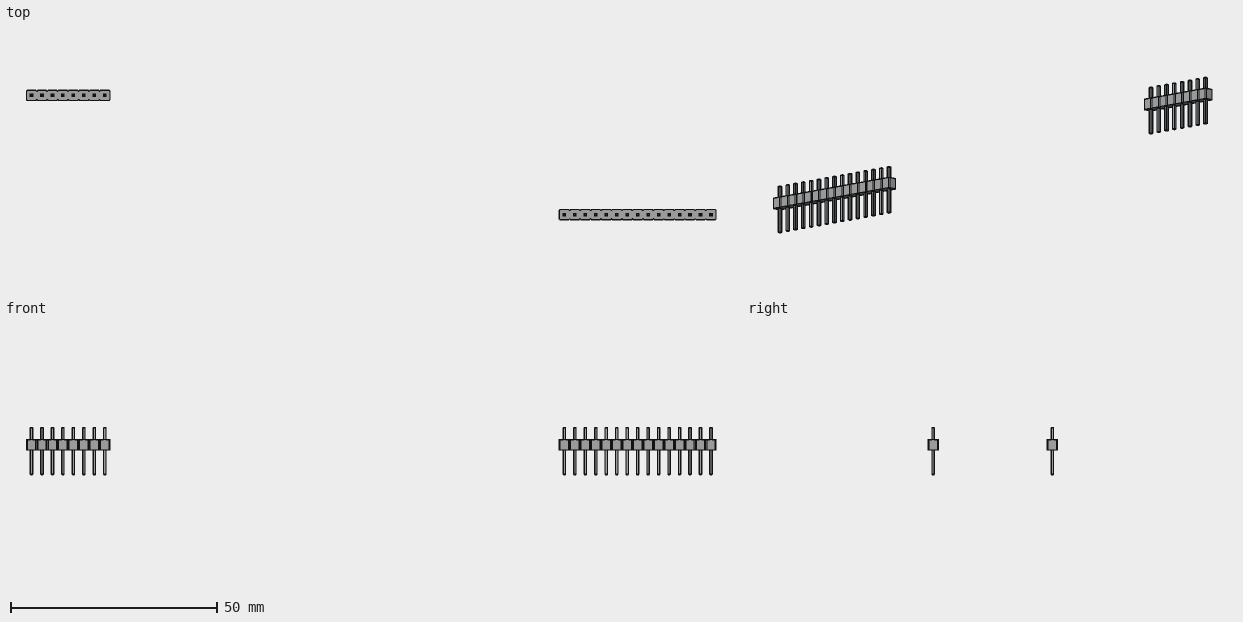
import cadquery as cq

overall_length = 167.4
overall_width = 31.5
overall_height = 11.5

long_pin_count = 15
short_pin_count = 8
gap_between_strips = 109.0
pitch = (overall_length - gap_between_strips) / (long_pin_count + short_pin_count)
long_strip_length = long_pin_count * pitch
short_strip_length = short_pin_count * pitch
strip_width = pitch
strip_height = pitch
corner_cut = 0.25

pin_width = 0.64
pin_tip_chamfer = pin_width / 4
pin_rise = 3.0
pin_bottom = strip_height + pin_rise - overall_height

short_x = (short_strip_length - overall_length) / 2
long_x = (overall_length - long_strip_length) / 2
short_y = (overall_width - strip_width) / 2
long_y = -short_y


def make_cell(x, y):
    """One plastic cell standing on Z = 0, with its four upright corners cut off."""
    return (
        cq.Workplane("XY")
        .box(pitch, strip_width, strip_height, centered=(True, True, False))
        .edges("|Z")
        .chamfer(corner_cut)
        .translate((x, y, 0))
    )


def make_pin(x, y):
    """One square pin with both tips chamfered."""
    return (
        cq.Workplane("XY")
        .box(pin_width, pin_width, overall_height, centered=(True, True, False))
        .faces("<Z or >Z")
        .chamfer(pin_tip_chamfer)
        .translate((x, y, pin_bottom))
    )


def make_header(pin_count, center_x, center_y):
    """A row of cells and their pins along X, fused into one solid."""
    first_x = center_x - (pin_count - 1) * pitch / 2
    header = cq.Workplane("XY")
    for index in range(pin_count):
        x = first_x + index * pitch
        header = header.union(make_cell(x, center_y)).union(make_pin(x, center_y))
    return header


short_header = make_header(short_pin_count, short_x, short_y)
long_header = make_header(long_pin_count, long_x, long_y)

result = cq.Compound.makeCompound([short_header.val(), long_header.val()])